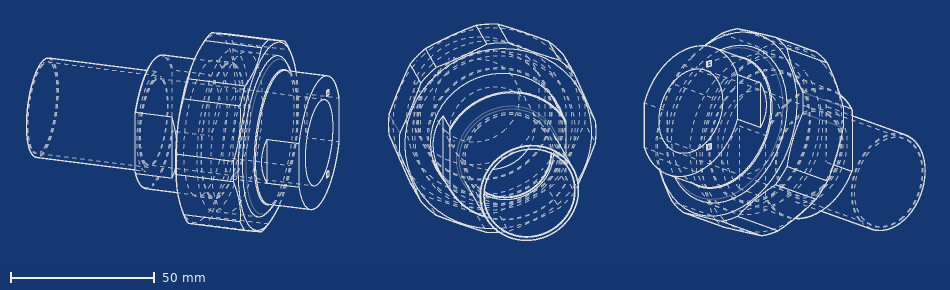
import cadquery as cq
import math


total_length = 102.0
end_face_x = 101.7
shoulder_x = 40.9
nut_start_x = 60.0
nut_end_x = 83.0
flange_start_x = 66.3
joint_x = 71.4

bore_diameter = 30.3
pipe_bore_diameter = 32.0
pipe_diameter = 35.0
barrel_diameter = 47.0
nut_bore_diameter = 47.9
collar_diameter = 56.6
nut_corner_diameter = 69.7

pipe_fillet = 0.8
rim_bevel = 0.2
barrel_chamfer = 0.3
tail_flat_offset = 20.5
tail_flat_end_x = 54.5

nut_sides = 8
nut_across_flats = 66.9
nut_face_diameter = 66.1
nut_front_bevel = 1.0
nut_back_bevel = 1.2

collar_bevel_x = 83.9
collar_bevel_diameter = 54.5
cone_end_x = 85.8
cone_end_diameter = 47.5
barrel_start_x = 86.2
end_flat_offset = 22.0
end_flat_start_x = 89.9
pad_y = 8.8
pad_z = 15.3
pad_size = 1.9


def tube(start_x, end_x, diameter):
    """Solid cylinder along X between two positions."""
    return cq.Workplane("YZ", origin=(start_x, 0, 0)).circle(diameter / 2).extrude(end_x - start_x)


def flat_cutters(offset, open_x, flat_x):
    """Two mirrored cutters for wrench flats normal to Y.

    Each flat runs from open_x to flat_x and then ramps out of the barrel at 45 degrees.
    """
    direction = math.copysign(1, flat_x - open_x)
    clear_y = collar_diameter / 2
    ramp_x = flat_x + direction * (clear_y - offset)
    cutter = (
        cq.Workplane("XY", origin=(0, 0, -clear_y))
        .moveTo(open_x, offset)
        .lineTo(flat_x, offset)
        .lineTo(ramp_x, clear_y)
        .lineTo(open_x, clear_y)
        .close()
        .extrude(2 * clear_y)
    )
    return cutter.union(cutter.mirror("XZ"))


def tailpiece_passage():
    """Stepped passage through the tailpiece, with bevels at the rim and at the step."""
    wide_r = pipe_bore_diameter / 2
    narrow_r = bore_diameter / 2
    return (
        cq.Workplane("XY")
        .lineTo(0, wide_r + rim_bevel)
        .lineTo(rim_bevel, wide_r)
        .lineTo(shoulder_x, wide_r)
        .lineTo(shoulder_x, narrow_r + rim_bevel)
        .lineTo(shoulder_x + rim_bevel, narrow_r)
        .lineTo(joint_x, narrow_r)
        .lineTo(joint_x, 0)
        .close()
        .revolve(360, (0, 0, 0), (1, 0, 0))
    )


def make_tailpiece():
    """Welding pipe, barrel with two wrench flats and the flange trapped in the nut."""
    pipe_r = pipe_diameter / 2
    barrel_r = barrel_diameter / 2
    fillet_sag = pipe_fillet * (1 - math.sqrt(0.5))
    body = (
        cq.Workplane("XY")
        .lineTo(0, pipe_r - rim_bevel)
        .lineTo(rim_bevel, pipe_r)
        .lineTo(shoulder_x - pipe_fillet, pipe_r)
        .threePointArc(
            (shoulder_x - fillet_sag, pipe_r + fillet_sag),
            (shoulder_x, pipe_r + pipe_fillet),
        )
        .lineTo(shoulder_x, barrel_r - barrel_chamfer)
        .lineTo(shoulder_x + barrel_chamfer, barrel_r)
        .lineTo(flange_start_x, barrel_r)
        .lineTo(flange_start_x, collar_diameter / 2)
        .lineTo(joint_x, collar_diameter / 2)
        .lineTo(joint_x, 0)
        .close()
        .revolve(360, (0, 0, 0), (1, 0, 0))
    )
    body = body.cut(tailpiece_passage())
    return body.cut(flat_cutters(tail_flat_offset, shoulder_x, tail_flat_end_x))


def make_nut():
    """Octagon with corners turned round, both ends bevelled and a lip behind the flange."""
    corner_r = nut_corner_diameter / 2
    face_r = nut_face_diameter / 2
    octagon = (
        cq.Workplane("YZ", origin=(nut_start_x, 0, 0))
        .polygon(nut_sides, nut_across_flats, circumscribed=True)
        .extrude(nut_end_x - nut_start_x)
        .rotate((0, 0, 0), (1, 0, 0), 180 / nut_sides)
    )
    turned_blank = (
        cq.Workplane("XY")
        .moveTo(nut_start_x, 0)
        .lineTo(nut_start_x, face_r)
        .lineTo(nut_start_x + nut_front_bevel, corner_r)
        .lineTo(nut_end_x - nut_back_bevel, corner_r)
        .lineTo(nut_end_x, face_r)
        .lineTo(nut_end_x, 0)
        .close()
        .revolve(360, (0, 0, 0), (1, 0, 0))
    )
    body = octagon.intersect(turned_blank)
    body = body.cut(tube(nut_start_x, flange_start_x, nut_bore_diameter))
    return body.cut(tube(flange_start_x, nut_end_x, collar_diameter))


def make_end_fitting():
    """Collar inside the nut, cone, barrel with two wrench flats and two end pads."""
    barrel_r = barrel_diameter / 2
    body = (
        cq.Workplane("XY")
        .moveTo(joint_x, 0)
        .lineTo(joint_x, collar_diameter / 2)
        .lineTo(nut_end_x, collar_diameter / 2)
        .lineTo(collar_bevel_x, collar_bevel_diameter / 2)
        .lineTo(cone_end_x, cone_end_diameter / 2)
        .lineTo(barrel_start_x, barrel_r)
        .lineTo(end_face_x, barrel_r)
        .lineTo(end_face_x, 0)
        .close()
        .revolve(360, (0, 0, 0), (1, 0, 0))
    )
    body = body.cut(tube(joint_x, end_face_x, bore_diameter))
    body = body.cut(flat_cutters(end_flat_offset, end_face_x, end_flat_start_x))
    pads = (
        cq.Workplane("YZ", origin=(end_face_x, 0, 0))
        .pushPoints([(pad_y, -pad_z), (pad_y, pad_z)])
        .rect(pad_size, pad_size)
        .extrude(total_length - end_face_x)
    )
    return body.union(pads)


tailpiece = make_tailpiece()
nut = make_nut()
end_fitting = make_end_fitting()

result = cq.Compound.makeCompound([tailpiece.solids().val(), nut.solids().val(), end_fitting.solids().val()])